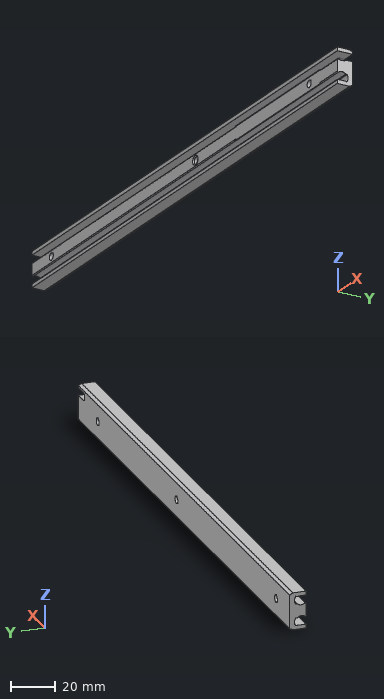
import cadquery as cq
import math

length = 270.0
depth = 8.0
height = 18.0
left_end = -length / 2
right_end = length / 2
front = -depth / 2
back = depth / 2
half_height = height / 2

middle_start = left_end + 180.0
middle_end = left_end + 254.9

back_bevel_y = 1.5
back_bevel_z = 0.8

groove_outer = 7.0
rib_half_width = 3.5
rib_bevel = 0.5
groove_width = groove_outer - rib_half_width
groove_middle = (groove_outer + rib_half_width) / 2
groove_depth = 5.7
floor_radius = 6.2 / 2
floor_sagitta = floor_radius - math.sqrt(floor_radius**2 - (groove_width / 2) ** 2)

race_radius = 6.0 / 2
race_bottom = 2.7
race_y = front + 2.5

hole_diameter = 3.5
hole_distances = (17.3, 144.5, 245.0)
countersunk_distance = hole_distances[1]
countersink_diameter = 4.5
countersink_depth = (countersink_diameter - hole_diameter) / 2

slot_length = 8.5


def outer_profile(start, stretch):
    """Plain rectangular bar running along X from start."""
    return (
        cq.Workplane("XY")
        .box(stretch, depth, height, centered=(False, True, True))
        .translate((start, 0, 0))
    )


def groove(start, stretch, side, bevelled):
    """Groove with an arched floor and a ball track; side is +1 above, -1 below."""
    wall_end = front + groove_depth - floor_sagitta
    channel = (
        cq.Workplane("YZ", origin=(start, 0, 0))
        .moveTo(front, side * rib_half_width)
        .lineTo(wall_end, side * rib_half_width)
        .threePointArc((front + groove_depth, side * groove_middle), (wall_end, side * groove_outer))
        .lineTo(front, side * groove_outer)
        .close()
        .extrude(stretch)
    )

    half_chord = math.sqrt(race_radius**2 - (race_radius + race_bottom - rib_half_width) ** 2)
    race = (
        cq.Workplane("YZ", origin=(start, 0, 0))
        .moveTo(race_y - half_chord, side * rib_half_width)
        .threePointArc((race_y, side * race_bottom), (race_y + half_chord, side * rib_half_width))
        .close()
        .extrude(stretch)
    )
    cutter = channel.union(race)
    if bevelled:
        bevel = (
            cq.Workplane("YZ", origin=(start, 0, 0))
            .moveTo(front, side * rib_half_width)
            .lineTo(front, side * (rib_half_width - rib_bevel))
            .lineTo(front + rib_bevel, side * rib_half_width)
            .close()
            .extrude(stretch)
        )
        cutter = cutter.union(bevel)
    return cutter


def back_bevel(start, stretch, side):
    """Wedge removed from one back edge."""
    return (
        cq.Workplane("YZ", origin=(start, 0, 0))
        .moveTo(back, side * half_height)
        .lineTo(back - back_bevel_y, side * half_height)
        .lineTo(back, side * (half_height - back_bevel_z))
        .close()
        .extrude(stretch)
    )


def rail_section(start, end, bevelled):
    """One lengthwise section of the rail."""
    stretch = end - start
    section = outer_profile(start, stretch)
    for side in (-1, 1):
        section = section.cut(groove(start, stretch, side, bevelled))
        section = section.cut(back_bevel(start, stretch, side))
    return section


def end_slot():
    """Slot open at the right end, rounded at its inner end."""
    round_x = right_end - slot_length + groove_width / 2
    rounded_end = (
        cq.Workplane("XZ", origin=(round_x, back, groove_middle))
        .circle(groove_width / 2)
        .extrude(depth)
    )
    straight = (
        cq.Workplane("XY")
        .box(right_end - round_x, depth, groove_width, centered=(False, True, True))
        .translate((round_x, 0, groove_middle))
    )
    return rounded_end.union(straight)


rail = rail_section(left_end, middle_start, True)
rail = rail.union(rail_section(middle_start, middle_end, False))
rail = rail.union(rail_section(middle_end, right_end, True))

for distance in hole_distances:
    drill = (
        cq.Workplane("XZ", origin=(left_end + distance, back, 0))
        .circle(hole_diameter / 2)
        .extrude(depth)
    )
    rail = rail.cut(drill)

countersink = cq.Workplane("XY").add(
    cq.Solid.makeCone(
        countersink_diameter / 2,
        hole_diameter / 2,
        countersink_depth,
        pnt=cq.Vector(left_end + countersunk_distance, front, 0),
        dir=cq.Vector(0, 1, 0),
    )
)
rail = rail.cut(countersink)

result = rail.cut(end_slot())